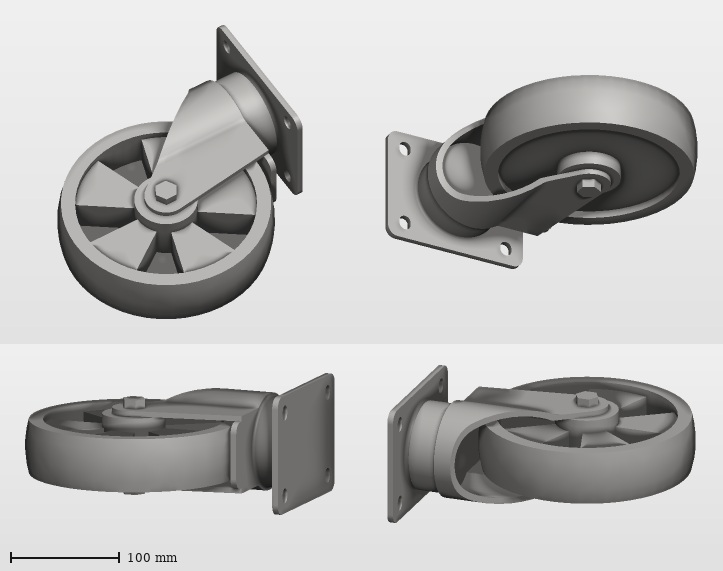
import cadquery as cq
import math


plate_length = 140.0
plate_width = 110.0
plate_thickness = 5.6
plate_corner_radius = 10.0
bolt_spacing_x = 105.0
bolt_spacing_z = 77.5
slot_length = 14.0
slot_width = 11.5

neck_radius = 38.1
neck_flare = 4.5
housing_radius = 83.1 / 2
housing_top = -10.0
housing_fillet = 2.5

fork_top = -36.2
fork_radius = 45.2
fork_wall = 5.6
leg_outer_z = 36.2
leg_thickness = 5.0
leg_inner_z = leg_outer_z - leg_thickness
leg_bend_radius = 10.0
leg_top_x = 69.2
leg_tip_radius = 20.0
leg_slope_angle = 51.0
heel_depth = 16.1
heel_arc_radius = 45.0
tab_reach = 82.5
tab_corner_radius = 10.0

axle_x = 64.8
wheel_radius = 100.0
overall_height = 244.5
axle_y = wheel_radius - overall_height
wheel_half_width = 25.0
tread_crown = 3.5
rim_radius = 167.0 / 2
rim_recess = 6.8
hub_radius = 58.5 / 2
hub_half_width = 30.5
pocket_count = 5
pocket_depth = 29.8
pocket_side_offset = 2.5

fork_end_x = axle_x + 2 * leg_tip_radius
fork_length = fork_top - axle_y + leg_tip_radius

axle_diameter = 20.0
hex_across_flats = 19.0
hex_height = 8.0


def xz_plane(y):
    """Workplane at height y whose local axes are X and Z, extruding towards -Y."""
    return cq.Workplane(cq.Plane(origin=(0, y, 0), xDir=(1, 0, 0), normal=(0, -1, 0)))


def xy_plane(z):
    """Workplane at height z, extruding towards +Z."""
    return cq.Workplane("XY", origin=(0, 0, z))


def make_plate():
    """Rounded mounting plate with four bolt slots, long in Z."""
    blank = xz_plane(0).rect(plate_length, plate_width).extrude(plate_thickness)
    blank = blank.edges("|Y").fillet(plate_corner_radius)
    slots = (
        xz_plane(0)
        .rect(bolt_spacing_x, bolt_spacing_z, forConstruction=True)
        .vertices()
        .slot2D(slot_length, slot_width, angle=90)
        .extrude(plate_thickness)
    )
    return blank.cut(slots)


def make_housing():
    """Turned swivel head: flared neck, bearing housing and a fillet onto the fork."""
    neck_height = -plate_thickness - housing_top
    flare_radius = (neck_flare**2 + neck_height**2) / (2 * neck_flare)
    profile = (
        cq.Workplane("XY")
        .moveTo(0, -plate_thickness)
        .lineTo(neck_radius + neck_flare, -plate_thickness)
        .radiusArc((neck_radius, housing_top), -flare_radius)
        .lineTo(housing_radius, housing_top)
        .lineTo(housing_radius, fork_top + housing_fillet)
        .radiusArc((housing_radius + housing_fillet, fork_top), -housing_fillet)
        .lineTo(0, fork_top)
        .close()
    )
    return profile.revolve(360, (0, 0, 0), (0, 1, 0))


def fork_section(radius, half_gap):
    """Prism along Y: a cylinder about the swivel axis running out into flat sides towards +X."""
    cylinder = xz_plane(fork_top).circle(radius).extrude(fork_length)
    flat_sides = (
        xz_plane(fork_top)
        .center(fork_end_x / 2, 0)
        .rect(fork_end_x, 2 * half_gap)
        .extrude(fork_length)
    )
    return cylinder.union(flat_sides)


def make_fork_outline():
    """Side outline of the fork, extruded through its full width."""
    slope = math.radians(leg_slope_angle)
    along_x, along_y = -math.cos(slope), math.sin(slope)
    normal_x, normal_y = -math.sin(slope), -math.cos(slope)
    front_tangent = (axle_x + leg_tip_radius * normal_x, axle_y + leg_tip_radius * normal_y)

    heel = (-fork_radius, fork_top - heel_depth)
    heel_dx = heel[0] - front_tangent[0]
    heel_dy = heel[1] - front_tangent[1]
    heel_along = heel_dx * along_x + heel_dy * along_y
    heel_offset = heel_dx * normal_x + heel_dy * normal_y
    arc_start = heel_along - math.sqrt(heel_arc_radius**2 - (heel_arc_radius - heel_offset) ** 2)
    heel_tangent = (
        front_tangent[0] + arc_start * along_x,
        front_tangent[1] + arc_start * along_y,
    )

    corner_dx = leg_top_x - axle_x
    corner_dy = fork_top - axle_y
    corner_angle = math.atan2(corner_dy, corner_dx)
    rear_angle = corner_angle - math.acos(leg_tip_radius / math.hypot(corner_dx, corner_dy))
    rear_tangent = (
        axle_x + leg_tip_radius * math.cos(rear_angle),
        axle_y + leg_tip_radius * math.sin(rear_angle),
    )

    return (
        xy_plane(-fork_radius)
        .moveTo(-fork_radius, fork_top)
        .lineTo(*heel)
        .radiusArc(heel_tangent, heel_arc_radius)
        .lineTo(*front_tangent)
        .threePointArc((axle_x, axle_y - leg_tip_radius), rear_tangent)
        .lineTo(leg_top_x, fork_top)
        .close()
        .extrude(2 * fork_radius)
    )


def make_fork():
    """Bent sheet fork: closed top web, round back and two flat legs, with a tab on the web."""
    outer = fork_section(fork_radius, leg_outer_z)
    bend_x = math.sqrt(fork_radius**2 - leg_outer_z**2)
    bend_y = fork_top - fork_length / 2
    for side in (-1, 1):
        bend = cq.selectors.NearestToPointSelector((bend_x, bend_y, side * leg_outer_z))
        outer = outer.edges("|Y").edges(bend).fillet(leg_bend_radius)
    inner = fork_section(fork_radius - fork_wall, leg_inner_z).translate((0, -fork_wall, 0))
    fork = outer.cut(inner).intersect(make_fork_outline())
    tab = (
        xz_plane(fork_top)
        .center(tab_reach / 2, 0)
        .rect(tab_reach, 2 * leg_inner_z)
        .extrude(fork_wall)
        .edges("|Y and >X")
        .fillet(tab_corner_radius)
    )
    return fork.union(tab)


def make_wheel():
    """Wheel about its own axis, centred on the origin."""
    edge_radius = wheel_radius - tread_crown
    web_half_width = wheel_half_width - rim_recess
    profile = (
        cq.Workplane("XZ")
        .moveTo(0, -hub_half_width)
        .lineTo(hub_radius, -hub_half_width)
        .lineTo(hub_radius, -web_half_width)
        .lineTo(rim_radius, -web_half_width)
        .lineTo(rim_radius, -wheel_half_width)
        .lineTo(edge_radius, -wheel_half_width)
        .threePointArc((wheel_radius, 0), (edge_radius, wheel_half_width))
        .lineTo(rim_radius, wheel_half_width)
        .lineTo(rim_radius, web_half_width)
        .lineTo(hub_radius, web_half_width)
        .lineTo(hub_radius, hub_half_width)
        .lineTo(0, hub_half_width)
        .close()
    )
    wheel = profile.revolve(360, (0, 0, 0), (0, 1, 0))

    floor_z = web_half_width - pocket_depth
    half_angle = math.pi / (2 * pocket_count)
    apex = pocket_side_offset / math.sin(half_angle)
    wedge_end = 2 * rim_radius
    wedge_half = (wedge_end - apex) * math.tan(half_angle)
    ring = xy_plane(floor_z).circle(rim_radius).circle(hub_radius).extrude(pocket_depth)
    wedge = (
        xy_plane(floor_z)
        .polyline([(apex, 0), (wedge_end, wedge_half), (wedge_end, -wedge_half)])
        .close()
        .extrude(pocket_depth)
    )
    pitch = 360 / pocket_count
    wedges = cq.Workplane("XY")
    for index in range(pocket_count):
        wedges = wedges.add(wedge.rotate((0, 0, 0), (0, 0, 1), (index + 0.5) * pitch))
    return wheel.cut(ring.intersect(wedges.combine()))


def make_axle():
    """Axle pin with a hexagon on the outside of each leg, centred on the origin."""
    across_corners = hex_across_flats / math.cos(math.pi / 6)
    pin = xy_plane(-leg_outer_z).circle(axle_diameter / 2).extrude(2 * leg_outer_z)
    for base in (-leg_outer_z - hex_height, leg_outer_z):
        hexagon = xy_plane(base).polygon(6, across_corners).extrude(hex_height)
        pin = pin.union(hexagon.rotate((0, 0, 0), (0, 0, 1), 90))
    return pin


axle_position = (axle_x, axle_y, 0)
result = (
    make_plate()
    .union(make_housing())
    .union(make_fork())
    .union(make_wheel().translate(axle_position))
    .union(make_axle().translate(axle_position))
)